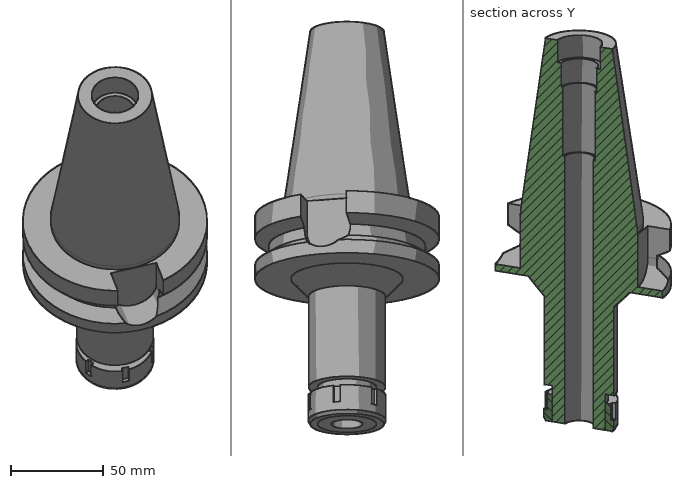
import cadquery as cq

TOTAL_HEIGHT = 221.8
GAUGE_LINE_Z = 120.0
FLANGE_TOP_Z = 117.0
UPPER_RIM_BOTTOM_Z = 104.7
GROOVE_TOP_Z = 100.5
GROOVE_BOTTOM_Z = 94.3
LOWER_RIM_TOP_Z = 89.5
FLANGE_BOTTOM_Z = 82.0
NOSE_TOP_Z = 72.0
NOSE_BOTTOM_Z = 20.8
NUT_HEIGHT = 16.0

GAUGE_RADIUS = 34.93
TAPER_RATE = 7 / 24
TAPER_TOP_RADIUS = GAUGE_RADIUS - TAPER_RATE / 2 * (TOTAL_HEIGHT - GAUGE_LINE_Z)
FLANGE_RADIUS = 50.02
GROOVE_RADIUS = 42.5
CONE_TOP_RADIUS = 30.4
NOSE_RADIUS = 20.8
NECK_RADIUS = 16.0

PILOT_RADIUS = 12.6
PILOT_DEPTH = 12.9
RELIEF_RADIUS = 10.5
RELIEF_DEPTH = 26.6
THREAD_RADIUS = 9.5
THREAD_DEPTH = 66.5
BORE_RADIUS = 8.5

DRIVE_SLOT_WIDTH = 25.7
DRIVE_SLOT_BOTTOM_Z = 86.3
DRIVE_SLOT_FLOOR_X = 35.3

NUT_RADIUS = 21.0
NUT_CHAMFER_WIDTH = 1.0
NUT_CHAMFER_HEIGHT = 2.0
SPANNER_SLOT_COUNT = 6
SPANNER_SLOT_WIDTH = 3.8
SPANNER_SLOT_DEPTH = 2.0
SPANNER_SLOT_BOTTOM_Z = 6.7


def cylinder(radius, bottom_z, top_z):
    """Solid cylinder on the Z axis."""
    return cq.Workplane("XY").workplane(offset=bottom_z).circle(radius).extrude(top_z - bottom_z)


def holder_blank():
    """Turned outside of the holder: neck, nose, cone, grooved flange and taper."""
    profile = [
        (0, 0),
        (NECK_RADIUS, 0),
        (NECK_RADIUS, NOSE_BOTTOM_Z),
        (NOSE_RADIUS, NOSE_BOTTOM_Z),
        (NOSE_RADIUS, NOSE_TOP_Z),
        (CONE_TOP_RADIUS, FLANGE_BOTTOM_Z),
        (FLANGE_RADIUS, FLANGE_BOTTOM_Z),
        (FLANGE_RADIUS, LOWER_RIM_TOP_Z),
        (GROOVE_RADIUS, GROOVE_BOTTOM_Z),
        (GROOVE_RADIUS, GROOVE_TOP_Z),
        (FLANGE_RADIUS, UPPER_RIM_BOTTOM_Z),
        (FLANGE_RADIUS, FLANGE_TOP_Z),
        (GAUGE_RADIUS, FLANGE_TOP_Z),
        (GAUGE_RADIUS, GAUGE_LINE_Z),
        (TAPER_TOP_RADIUS, TOTAL_HEIGHT),
        (0, TOTAL_HEIGHT),
    ]
    return cq.Workplane("XZ").polyline(profile).close().revolve(360, (0, 0, 0), (0, 1, 0))


def stepped_bore():
    """Pilot, relief, thread and through bores, all on the Z axis."""
    pilot = cylinder(PILOT_RADIUS, TOTAL_HEIGHT - PILOT_DEPTH, TOTAL_HEIGHT)
    thread = cylinder(THREAD_RADIUS, TOTAL_HEIGHT - THREAD_DEPTH, TOTAL_HEIGHT)
    relief = cylinder(RELIEF_RADIUS, TOTAL_HEIGHT - RELIEF_DEPTH, TOTAL_HEIGHT)
    through = cylinder(BORE_RADIUS, 0, TOTAL_HEIGHT)
    return through.union(thread).union(relief).union(pilot)


def drive_slot():
    """Round-bottomed slot on the +X side, open at the flange top and rim."""
    half_width = DRIVE_SLOT_WIDTH / 2
    arc_center_z = DRIVE_SLOT_BOTTOM_Z + half_width
    return (
        cq.Workplane("YZ")
        .workplane(offset=DRIVE_SLOT_FLOOR_X)
        .moveTo(-half_width, FLANGE_TOP_Z)
        .lineTo(-half_width, arc_center_z)
        .threePointArc((0, DRIVE_SLOT_BOTTOM_Z), (half_width, arc_center_z))
        .lineTo(half_width, FLANGE_TOP_Z)
        .close()
        .extrude(FLANGE_RADIUS - DRIVE_SLOT_FLOOR_X)
    )


def make_holder():
    """Tool holder with its bore and two opposite drive slots."""
    body = holder_blank().cut(stepped_bore())
    for angle in (0, 180):
        body = body.cut(drive_slot().rotate((0, 0, 0), (0, 0, 1), angle))
    return body


def spanner_slot():
    """Slot in the nut wall on the +X side, open at the top of the nut."""
    floor_x = NUT_RADIUS - SPANNER_SLOT_DEPTH
    return cq.Workplane("XY").box(
        2 * SPANNER_SLOT_DEPTH,
        SPANNER_SLOT_WIDTH,
        NUT_HEIGHT - SPANNER_SLOT_BOTTOM_Z,
        centered=(False, True, False),
    ).translate((floor_x, 0, SPANNER_SLOT_BOTTOM_Z))


def make_nut():
    """Chamfered ring nut around the neck, with evenly spaced spanner slots."""
    profile = [
        (NECK_RADIUS, 0),
        (NUT_RADIUS - NUT_CHAMFER_WIDTH, 0),
        (NUT_RADIUS, NUT_CHAMFER_HEIGHT),
        (NUT_RADIUS, NUT_HEIGHT),
        (NECK_RADIUS, NUT_HEIGHT),
    ]
    body = cq.Workplane("XZ").polyline(profile).close().revolve(360, (0, 0, 0), (0, 1, 0))
    for index in range(SPANNER_SLOT_COUNT):
        angle = index * 360 / SPANNER_SLOT_COUNT
        body = body.cut(spanner_slot().rotate((0, 0, 0), (0, 0, 1), angle))
    return body


holder = make_holder()
nut = make_nut()

result = cq.Compound.makeCompound([holder.val(), nut.val()])